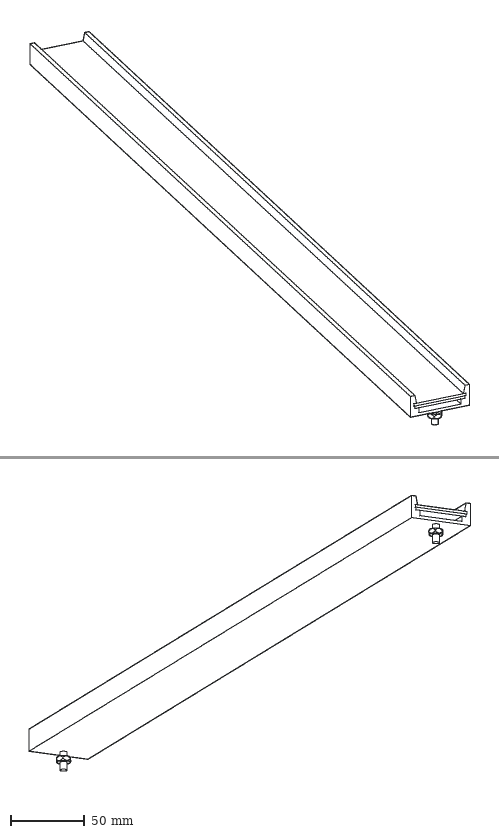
import cadquery as cq

length = 609.5
channel_width = 44.5
channel_height = 16.0
total_height = 28.5

floor_thickness = 2.2
cavity_width = 32.0
rim_opening_width = 38.0
lip_opening_width = 35.5

plate_thickness = 1.9
cover_depth = 6.0
cover_width = 39.0
base_plate_width = 38.0

stud_spacing = 593.0
stud_diameter = 5.0
nut_gap = 3.5
nut_thickness = 3.5
nut_corner_radius = 5.4
nut_chamfer_height = 1.5
nut_face_radius = 4.6

cover_top = channel_height - cover_depth
cover_bottom = cover_top - plate_thickness
ledge_height = cover_bottom - plate_thickness
stud_length = total_height - channel_height
stud_places = [-stud_spacing / 2, stud_spacing / 2]


def make_channel():
    """Extrude the channel: sloped rims, slots for the plates and a shallow cavity under them."""
    right_side = [
        (0, 0),
        (channel_width / 2, 0),
        (channel_width / 2, channel_height),
        (rim_opening_width / 2, channel_height),
        (lip_opening_width / 2, cover_top),
        (cover_width / 2, cover_top),
        (cover_width / 2, cover_bottom),
        (base_plate_width / 2, cover_bottom),
        (base_plate_width / 2, ledge_height),
        (cavity_width / 2, ledge_height),
        (cavity_width / 2, floor_thickness),
        (0, floor_thickness),
    ]
    return (
        cq.Workplane("YZ")
        .polyline(right_side)
        .mirrorY()
        .extrude(length / 2, both=True)
        .clean()
    )


def make_plate(width, bottom):
    """Make a full-length plate whose underside is at the given height."""
    return (
        cq.Workplane("XY")
        .workplane(offset=bottom)
        .rect(length, width)
        .extrude(plate_thickness)
    )


def hanging_plane(x, z):
    """Return a plane that faces down, with its own x direction along -Y."""
    return cq.Workplane(cq.Plane(origin=(x, 0, z), xDir=(0, -1, 0), normal=(0, 0, -1)))


def make_stud(x):
    """Make a plain round stud that hangs from the channel floor."""
    return hanging_plane(x, 0).circle(stud_diameter / 2).extrude(stud_length)


def make_nut(x):
    """Make a hexagonal nut around a stud, with two corners along Y and both faces chamfered."""
    hexagon = (
        hanging_plane(x, -nut_gap)
        .polygon(6, 2 * nut_corner_radius)
        .circle(stud_diameter / 2)
        .extrude(nut_thickness)
    )
    chamfer_width = nut_corner_radius - nut_face_radius
    envelope = (
        hanging_plane(x, -nut_gap)
        .circle(nut_corner_radius)
        .extrude(nut_thickness)
        .edges("%CIRCLE")
        .chamfer(nut_chamfer_height, chamfer_width)
    )
    return hexagon.intersect(envelope)


channel = make_channel()
base_plate = make_plate(base_plate_width, ledge_height)
cover_plate = make_plate(cover_width, cover_bottom)
studs = [make_stud(x).val() for x in stud_places]
nuts = [make_nut(x).val() for x in stud_places]

result = cq.Compound.makeCompound([channel.val(), base_plate.val(), cover_plate.val(), *studs, *nuts])